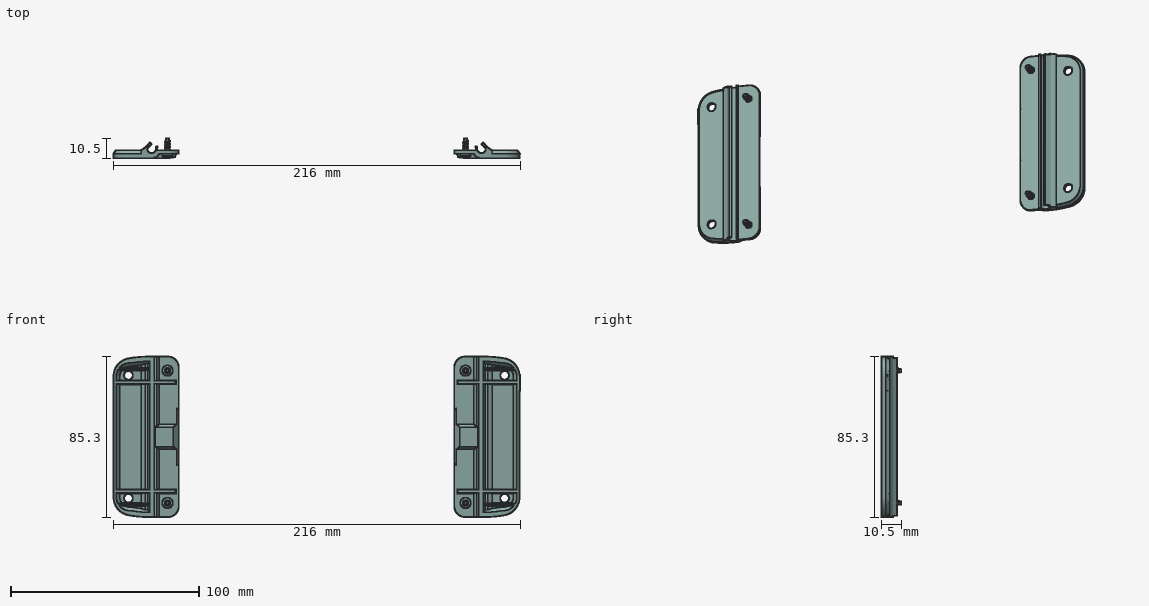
import cadquery as cq
import math


span = 216.0
plate_width = 34.8
half_height = 42.65
plate_depth = 4.3
bump_reach = 0.32

side_half_height = 32.0
shoulder_x = 8.6
shoulder_drop = 0.9
crown_x = 18.8
inner_corner_radius = 5.8
chamfer_y = 2.4
chamfer_width = 1.19

rim_side = 1.5
rim_end = 2.5
pocket_floor_y = 2.5
pocket_wall_angle = 36.0
ridge_x = (19.2, 21.5)
pocket_ramp_x = (14.7, 16.8)
pocket_ramp_y = 1.7
pocket_shelf_end_x = 18.4
cross_rib_z = 29.0
cross_rib_width = 1.5
end_rib_z = 35.95
end_rib_width = 0.9
rib_draft = 0.5
hole_x = 8.0
hole_z = 32.6
hole_diameter = 4.5

flange_y = 2.4
step_y = 0.6
step_x = (22.9, 24.5)
rib_bend_x = 29.0
rib_nose_x = 32.8
rib_nose_y = 0.6
rib_end_x = 33.3

tab_x = 22.2
tab_y = 0.2
tab_half_height = 5.2
tab_root_half_height = 6.7
relief_x = 31.85
relief_back_y = 3.9
relief_half_height = 16.2
relief_end_run = 2.0

channel_x = 20.3
channel_y = 5.07
channel_diameter = 4.5
hook_root_x = 14.7
hook_shoulder = (17.3, 6.0)
hook_tip = (19.33, 8.5)
hook_tip_inner = (20.4, 7.5)
hook_neck = (18.5, 5.72)
hook_half_height = 42.0
lip_root = (21.8, 3.7)
lip_tip = (22.7, 6.37)
lip_width = 0.97

bump_z = (24.5, 32.8)

screw_x = 28.7
screw_z = 35.1
screw_hole_diameter = 3.5
head_diameter = 5.6
head_crown_diameter = 3.0
head_y = 0.5
head_bevel_height = 0.9
socket_diameter = 1.66
socket_depth = 1.0
thread_diameter = 3.0
core_diameter = 2.2
thread_pitch = 1.5
thread_start_y = 4.5
thread_length = 4.5
screw_tip_y = 10.5
tip_diameter = 1.66
tip_cone_length = 1.3
thread_half_foot = 0.5
thread_root_overlap = 0.1


def facing_back(y):
    """Workplane at depth y whose normal points to +Y."""
    return cq.Workplane(cq.Plane((0, y, 0), (1, 0, 0), (0, 1, 0)))


def bar(points, half_length):
    """Prism along Z with a polygon section in X and Y, centred on z = 0."""
    return cq.Workplane("XY").polyline(points).close().extrude(half_length, both=True)


def rounded_end_sketch(y, side, end, x_end):
    """Closed outline with rounded outer corners, inset by side and end, cut straight at x_end."""
    top = half_height - end
    shoulder_end_x = shoulder_x + side / 2
    return (
        facing_back(y)
        .moveTo(side, 0)
        .lineTo(side, side_half_height)
        .tangentArcPoint((shoulder_end_x, top - shoulder_drop), relative=False)
        .threePointArc(((shoulder_end_x + crown_x) / 2, top - shoulder_drop / 4), (crown_x, top))
        .lineTo(x_end, top)
        .lineTo(x_end, 0)
        .mirrorX()
    )


def make_rim_block():
    """Solid outer part of the plate with a chamfer around its back."""
    front = rounded_end_sketch(0, 0, 0, ridge_x[1]).extrude(chamfer_y)
    back_height = plate_depth - chamfer_y
    chamfer_angle = math.degrees(math.atan(chamfer_width / back_height))
    back = rounded_end_sketch(chamfer_y, 0, 0, ridge_x[1]).extrude(back_height, taper=chamfer_angle)
    return front.union(back)


def make_flange():
    """Thin inner part of the plate with rounded corners."""
    length = plate_width - ridge_x[1]
    return (
        facing_back(flange_y)
        .center(ridge_x[1] + length / 2, 0)
        .rect(length, 2 * half_height)
        .extrude(plate_depth - flange_y)
        .edges("|Y and >X")
        .fillet(inner_corner_radius)
    )


def make_hinge_bar():
    """Ridge foot, step and channel walls, running the full height."""
    section = [
        (hook_root_x, flange_y),
        (hook_root_x, plate_depth),
        hook_shoulder,
        (channel_x, hook_shoulder[1]),
        (channel_x, plate_depth),
        (step_x[1], plate_depth),
        (step_x[1], flange_y),
        (step_x[0], step_y),
        (ridge_x[0], step_y),
        (ridge_x[0], flange_y),
    ]
    outline = rounded_end_sketch(0, 0, 0, plate_width).extrude(screw_tip_y)
    return bar(section, half_height).intersect(outline)


def make_hook():
    """Slanted arm that leans over the channel."""
    root = (hook_shoulder[0], plate_depth)
    section = [hook_shoulder, hook_tip, hook_tip_inner, hook_neck, root]
    return bar(section, hook_half_height)


def make_lip():
    """Short lip on the inner side of the channel."""
    section = [
        lip_root,
        lip_tip,
        (lip_tip[0] + lip_width, lip_tip[1]),
        (lip_root[0] + lip_width, lip_root[1]),
    ]
    return bar(section, half_height)


def make_channel():
    """Round channel along the hook."""
    return (
        cq.Workplane("XY")
        .center(channel_x, channel_y)
        .circle(channel_diameter / 2)
        .extrude(half_height, both=True)
    )


def make_drafted_rib(width):
    """Rib across the whole plate, wider at the pocket floor than at the front."""
    top = width / 2
    root = top + rib_draft
    return (
        cq.Workplane("YZ")
        .polyline([(0, -top), (0, top), (pocket_floor_y, root), (pocket_floor_y, -root)])
        .close()
        .extrude(plate_width)
    )


def make_pockets():
    """Front pockets between the rim, the ridge and the cross ribs."""
    hollow = rounded_end_sketch(0, rim_side, rim_end, plate_width).extrude(
        pocket_floor_y, taper=pocket_wall_angle
    )
    section = [
        (0, 0),
        (0, pocket_floor_y),
        (pocket_ramp_x[0], pocket_floor_y),
        (pocket_ramp_x[1], pocket_ramp_y),
        (pocket_shelf_end_x, pocket_ramp_y),
        (ridge_x[0], 0),
    ]
    pockets = hollow.intersect(bar(section, half_height))
    for side in (-1, 1):
        for rib_z, rib_width in ((cross_rib_z, cross_rib_width), (end_rib_z, end_rib_width)):
            pockets = pockets.cut(make_drafted_rib(rib_width).translate((0, 0, side * rib_z)))
    return pockets


def make_flange_rib():
    """Cross rib on the flange, falling off towards the inner edge."""
    section = [
        (ridge_x[0], 0),
        (rib_bend_x, 0),
        (rib_nose_x, rib_nose_y),
        (rib_end_x, flange_y),
        (ridge_x[0], flange_y),
    ]
    return bar(section, half_height).intersect(make_drafted_rib(cross_rib_width))


def make_tab():
    """Finger tab with sloped flanks in the middle of the flange."""
    profile = [
        (tab_y, -tab_half_height),
        (tab_y, tab_half_height),
        (flange_y, tab_root_half_height),
        (flange_y, -tab_root_half_height),
    ]
    return (
        cq.Workplane("YZ", origin=(tab_x, 0, 0))
        .polyline(profile)
        .close()
        .extrude(plate_width - tab_x)
    )


def make_edge_relief():
    """Cutter for the slope across the tab front and the inner edge, with slanted ends."""
    section = [(relief_x, tab_y), (plate_width, relief_back_y), (plate_width, tab_y)]
    wedge = bar(section, relief_half_height)
    ends = (
        facing_back(0)
        .polyline([
            (relief_x, -relief_half_height),
            (relief_x, relief_half_height),
            (plate_width, relief_half_height - relief_end_run),
            (plate_width, relief_end_run - relief_half_height),
        ])
        .close()
        .extrude(plate_depth)
    )
    return wedge.intersect(ends)


def make_holes(x, z, diameter):
    """Cutter for a pair of holes through the plate, above and below the middle."""
    return (
        facing_back(0)
        .pushPoints([(x, -z), (x, z)])
        .circle(diameter / 2)
        .extrude(plate_depth)
    )


def make_plate():
    plate = make_rim_block().union(make_flange()).union(make_hinge_bar())
    plate = plate.union(make_lip()).cut(make_channel()).union(make_hook())
    plate = plate.cut(make_pockets())
    for side in (-1, 1):
        plate = plate.union(make_flange_rib().translate((0, 0, side * cross_rib_z)))
    plate = plate.union(make_tab()).cut(make_edge_relief())
    plate = plate.cut(make_holes(hole_x, hole_z, hole_diameter))
    return plate.cut(make_holes(screw_x, screw_z, screw_hole_diameter))


def make_bump():
    """Small wedge that carries the back chamfer past the outer side (at x = 0)."""
    slope = (plate_depth - chamfer_y) / chamfer_width
    section = [
        (-bump_reach, chamfer_y),
        (chamfer_width / 2, chamfer_y),
        (chamfer_width / 2, chamfer_y + slope * chamfer_width / 2),
    ]
    length = bump_z[1] - bump_z[0]
    return bar(section, length / 2).translate((0, 0, sum(bump_z) / 2))


def make_thread():
    """Helical ridge of triangular section around the Z axis, starting at z = 0."""
    root = core_diameter / 2 - thread_root_overlap
    helix = cq.Wire.makeHelix(thread_pitch, thread_length, root)
    return (
        cq.Workplane("XZ")
        .polyline([(root, -thread_half_foot), (thread_diameter / 2, 0), (root, thread_half_foot)])
        .close()
        .sweep(cq.Workplane(obj=helix), isFrenet=True)
    )


def make_screw():
    """Screw along +Y with its axis at x = z = 0."""
    half_section = [
        (0, head_y),
        (head_crown_diameter / 2, head_y),
        (head_diameter / 2, head_y + head_bevel_height),
        (head_diameter / 2, flange_y),
        (core_diameter / 2, flange_y),
        (core_diameter / 2, screw_tip_y - tip_cone_length),
        (tip_diameter / 2, screw_tip_y),
        (0, screw_tip_y),
    ]
    body = cq.Workplane("XY").polyline(half_section).close().revolve(360, (0, 0, 0), (0, 1, 0))
    socket = facing_back(head_y).circle(socket_diameter / 2).extrude(socket_depth)
    thread = make_thread().rotate((0, 0, 0), (1, 0, 0), -90).translate((0, thread_start_y, 0))
    return body.cut(socket).union(thread)


left_outer_x = -span / 2
right_outer_x = span / 2 - bump_reach

base_plate = make_plate()
left_plate = base_plate.translate((left_outer_x, 0, 0))
right_plate = base_plate.union(make_bump()).mirror("YZ").translate((right_outer_x, 0, 0))

screw = make_screw()
screws = []
for axis_x in (left_outer_x + screw_x, right_outer_x - screw_x):
    for axis_z in (-screw_z, screw_z):
        screws.append(screw.translate((axis_x, 0, axis_z)))

result = cq.Compound.makeCompound([
    left_plate.solids().val(),
    right_plate.solids().val(),
    *[placed.solids().val() for placed in screws],
])